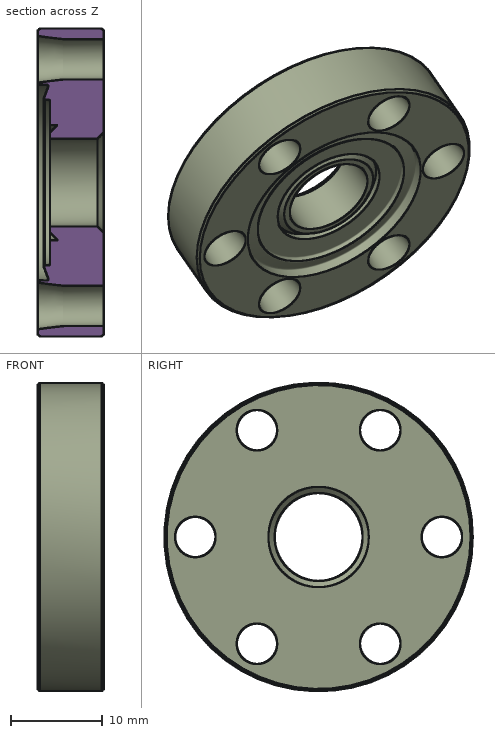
import cadquery as cq
import math

flange_diameter = 33.78
flange_thickness = 7.24
rim_chamfer = 0.25

recess_diameter = 21.4
recess_depth = 1.2
knife_diameter = 18.1
knife_slope_degrees = 20
knife_fillet = 0.13

floor_depth = 1.33
groove_outer_diameter = 12.6
groove_inner_diameter = 11.0
groove_depth = 0.8

bore_diameter = 9.6
bore_chamfer = 0.7

bolt_count = 6
bolt_circle_diameter = 27.0
bolt_hole_diameter = 4.4
bolt_mouth_diameter = 5.1
bolt_taper_depth = 2.8

face_x = -flange_thickness / 2
back_x = flange_thickness / 2
floor_x = face_x + floor_depth
bore_radius = bore_diameter / 2
knife_radius = knife_diameter / 2
recess_radius = recess_diameter / 2


def make_body():
    """Revolve the half section, drawn as (x, radius), about the X axis."""
    rim_radius = flange_diameter / 2
    recess_x = face_x + recess_depth
    knife_rise = (recess_radius - knife_radius) * math.tan(math.radians(knife_slope_degrees))
    section = [
        (back_x - bore_chamfer, bore_radius),
        (back_x, bore_radius + bore_chamfer),
        (back_x, rim_radius - rim_chamfer),
        (back_x - rim_chamfer, rim_radius),
        (face_x + rim_chamfer, rim_radius),
        (face_x, rim_radius - rim_chamfer),
        (face_x, recess_radius),
        (recess_x, recess_radius),
        (recess_x - knife_rise, knife_radius),
        (floor_x, knife_radius),
        (floor_x, groove_outer_diameter / 2),
        (floor_x + groove_depth, groove_outer_diameter / 2),
        (floor_x, groove_inner_diameter / 2),
        (floor_x, bore_radius),
    ]
    body = cq.Workplane("XY").polyline(section).close().revolve(360, (0, 0, 0), (1, 0, 0))

    rounded = [(recess_x, recess_radius), (recess_x - knife_rise, knife_radius), (floor_x, knife_radius)]
    for x, radius in rounded:
        body = body.edges(circle_at(x, radius)).fillet(knife_fillet)
    return body


def circle_at(x, radius):
    """Selector for the circular edge of the given radius around the X axis at x."""
    margin = knife_fillet / 2
    outer = radius + margin
    return cq.selectors.BoxSelector(
        (x - margin, -outer, -outer), (x + margin, outer, outer), boundingbox=True
    ) - cq.selectors.BoxSelector(
        (x - margin, margin - radius, margin - radius),
        (x + margin, radius - margin, radius - margin),
        boundingbox=True,
    )


def make_bolt_hole(angle):
    """Cutter for one through hole, tapering inwards from the sealing face."""
    circle_radius = bolt_circle_diameter / 2
    hole_radius = bolt_hole_diameter / 2
    axis = cq.Vector(1, 0, 0)
    start = cq.Vector(face_x, circle_radius * math.cos(angle), circle_radius * math.sin(angle))
    hole = cq.Solid.makeCylinder(hole_radius, flange_thickness, start, axis)
    mouth = cq.Solid.makeCone(bolt_mouth_diameter / 2, hole_radius, bolt_taper_depth, start, axis)
    return hole.fuse(mouth)


result = make_body()
for index in range(bolt_count):
    result = result.cut(cq.Workplane(obj=make_bolt_hole(2 * math.pi * index / bolt_count)))